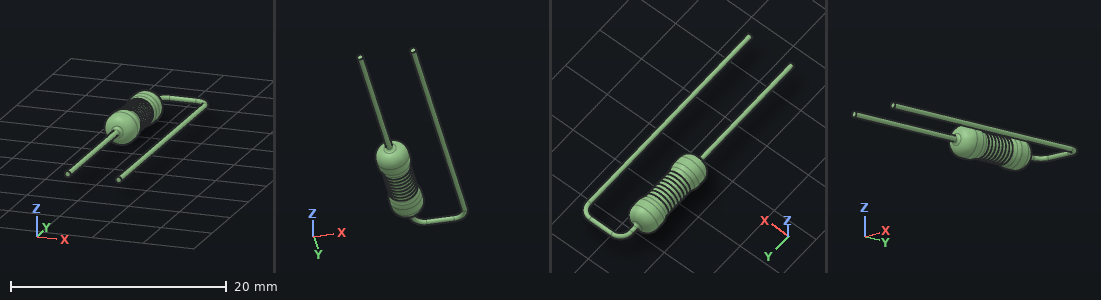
import cadquery as cq
import math

overall_length = 25.1
overall_width = 6.9
body_diameter = 3.2
waist_diameter = 2.7
band_diameter = 2.74
wire_diameter = 0.6

body_radius = body_diameter / 2
waist_radius = waist_diameter / 2
band_radius = band_diameter / 2
wire_radius = wire_diameter / 2

bend_radius = 1.2
lead_pitch = overall_width - body_radius - wire_radius
crossbar_y = overall_length - wire_radius

band_count = 4
band_width = 0.45
band_pitch = 2 * band_width
bands_length = (band_count - 1) * band_pitch + band_width

body_center_y = 18.12
waist_end = bands_length / 2
cap_inner_end = 2.55
cap_outer_end = 3.41

shoulder_length = cap_inner_end - waist_end
shoulder_height = body_radius - waist_radius
joint_radius = (waist_radius + body_radius) / 2
shoulder_joint = (waist_end + cap_inner_end) / 2
shoulder_arc_radius = (shoulder_length**2 + shoulder_height**2) / (4 * shoulder_height)

dome_radius = 1.13
neck_fillet = 0.3
dome_center_radius = body_radius - dome_radius
neck_offset = wire_radius + neck_fillet - dome_center_radius
center_distance = dome_radius + neck_fillet
neck_end = cap_outer_end + math.sqrt(center_distance**2 - neck_offset**2)
dome_share = dome_radius / center_distance
dome_foot_radius = dome_center_radius + neck_offset * dome_share
dome_foot = cap_outer_end + (neck_end - cap_outer_end) * dome_share


def make_body():
    """Body revolved about the Y axis, with its middle at Y = 0."""
    profile = (
        cq.Workplane("XY")
        .moveTo(0, -neck_end)
        .lineTo(wire_radius, -neck_end)
        .radiusArc((dome_foot_radius, -dome_foot), neck_fillet)
        .radiusArc((body_radius, -cap_outer_end), -dome_radius)
        .lineTo(body_radius, -cap_inner_end)
        .radiusArc((joint_radius, -shoulder_joint), -shoulder_arc_radius)
        .radiusArc((waist_radius, -waist_end), shoulder_arc_radius)
    )
    for index in range(band_count):
        band_start = -waist_end + index * band_pitch
        band_end = band_start + band_width
        if index > 0:
            profile = profile.lineTo(waist_radius, band_start)
        profile = (
            profile.lineTo(band_radius, band_start)
            .lineTo(band_radius, band_end)
            .lineTo(waist_radius, band_end)
        )
    profile = (
        profile.radiusArc((joint_radius, shoulder_joint), shoulder_arc_radius)
        .radiusArc((body_radius, cap_inner_end), -shoulder_arc_radius)
        .lineTo(body_radius, cap_outer_end)
        .radiusArc((dome_foot_radius, dome_foot), -dome_radius)
        .radiusArc((wire_radius, neck_end), neck_fillet)
        .lineTo(0, neck_end)
        .close()
    )
    return profile.revolve(360, (0, 0, 0), (0, 1, 0))


def make_wire():
    """Round lead along the body axis, over the crossbar and back down to Y = 0."""
    bend_y = crossbar_y - bend_radius
    path = (
        cq.Workplane("XY")
        .lineTo(0, bend_y)
        .radiusArc((bend_radius, crossbar_y), bend_radius)
        .lineTo(lead_pitch - bend_radius, crossbar_y)
        .radiusArc((lead_pitch, bend_y), bend_radius)
        .lineTo(lead_pitch, 0)
    )
    return cq.Workplane("XZ").circle(wire_radius).sweep(path)


body = make_body().translate((0, body_center_y, 0))
result = make_wire().union(body)